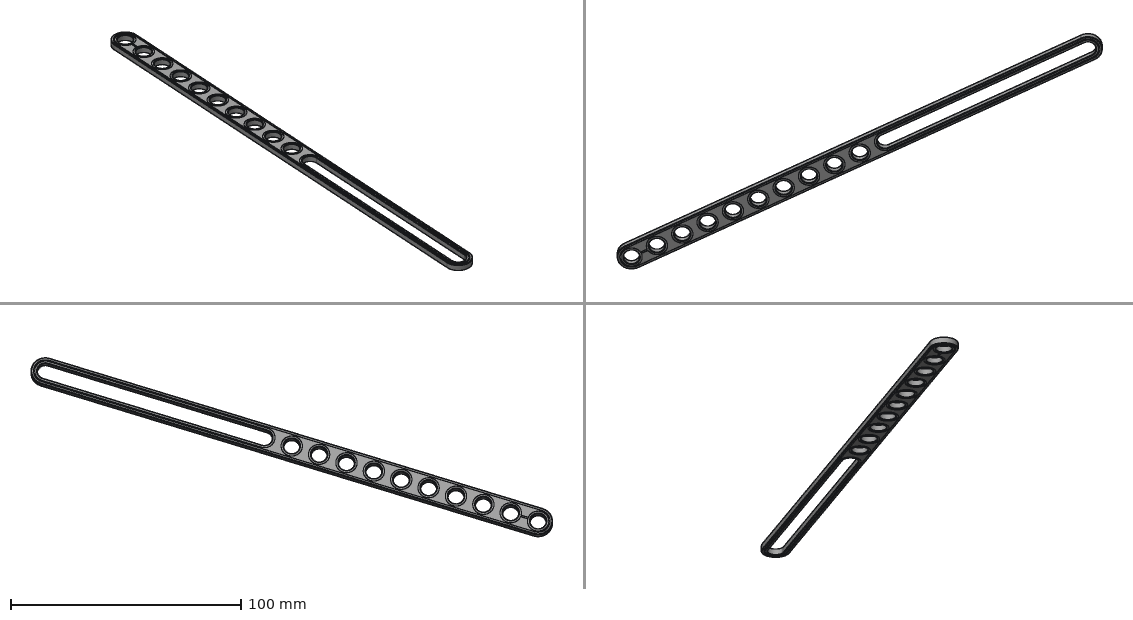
import cadquery as cq

length = 237.5
pitch_count = 19
hole_count = 10
boss_diameter = 9.3
boss_wall = 1.15
rim_width = 1.1
pocket_depth = 0.2
edge_chamfer = 0.3
rib_width = 0.7

pitch = length / pitch_count
width = pitch
thickness = pitch / 4
hole_diameter = boss_diameter - 2 * boss_wall


def station(index):
    """X position of a hole station, counted from the -X end."""
    return (index - (pitch_count - 1) / 2) * pitch


hole_stations = [station(index) for index in range(hole_count)]
slot_start = station(hole_count)
slot_end = station(pitch_count - 1)
slot_centre = (slot_start + slot_end) / 2
slot_spacing = slot_end - slot_start


def rounded_bar(bar_length, bar_width, height, centre_x=0.0):
    """Flat bar with full-round ends, standing on Z = 0."""
    return cq.Workplane("XY").center(centre_x, 0).slot2D(bar_length, bar_width).extrude(height)


def openings(diameter, height):
    """Upright solids of one diameter at every hole and along the slot."""
    rounds = cq.Workplane("XY").pushPoints([(x, 0) for x in hole_stations])
    rounds = rounds.circle(diameter / 2).extrude(height)
    slot = rounded_bar(slot_spacing + diameter, diameter, height, slot_centre)
    return rounds.union(slot)


def chamfered_strip():
    """Strip with its holes and slot, every outer and inner edge chamfered."""
    strip = rounded_bar(length, width, thickness).cut(openings(hole_diameter, thickness))
    return strip.faces("<Z or >Z").chamfer(edge_chamfer)


def face_pocket():
    """Recess inside the outer rim, leaving the bosses and a rib between the first two holes."""
    pocket = rounded_bar(length - 2 * rim_width, width - 2 * rim_width, pocket_depth)
    rib_centre = (hole_stations[0] + hole_stations[1]) / 2
    rib = cq.Workplane("XY").center(rib_centre, 0).rect(pitch, rib_width).extrude(pocket_depth)
    return pocket.cut(openings(boss_diameter, pocket_depth)).cut(rib)


result = chamfered_strip()
for pocket_floor in (0, thickness - pocket_depth):
    result = result.cut(face_pocket().translate((0, 0, pocket_floor)))